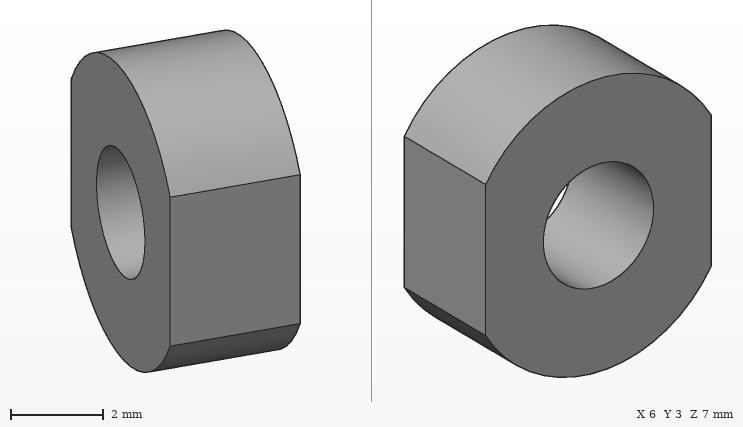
import cadquery as cq

outer_diameter = 7.0
width_across_flats = 6.0
thickness = 3.0
bore_diameter = 2.93

disc = cq.Workplane("XZ").circle(outer_diameter / 2).extrude(thickness / 2, both=True)

flats_envelope = cq.Workplane("XY").box(width_across_flats, thickness, outer_diameter)
body = disc.intersect(flats_envelope)

bore = cq.Workplane("XZ").circle(bore_diameter / 2).extrude(thickness / 2, both=True)

result = body.cut(bore)